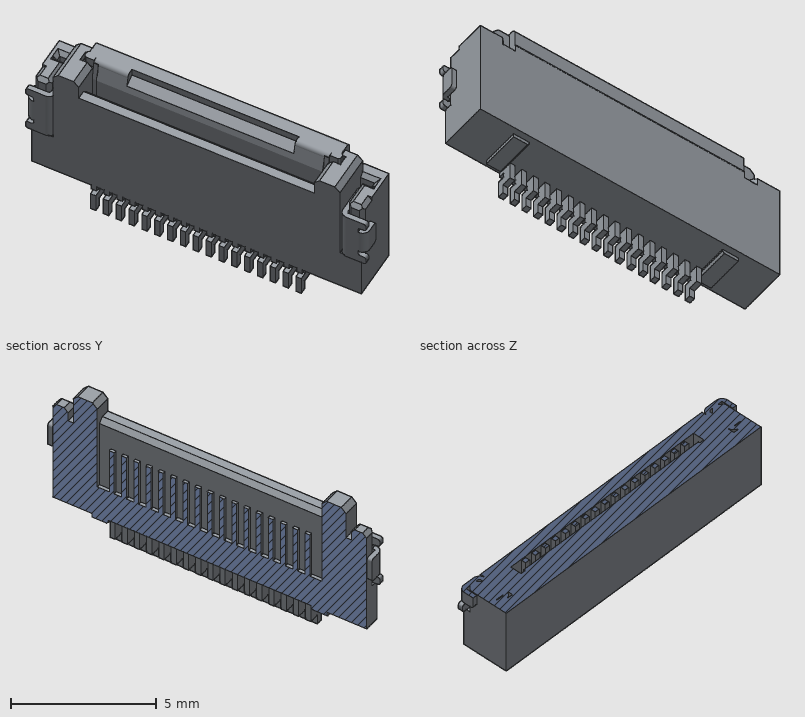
import cadquery as cq
import math


HOUSING_HALF = 6.41
HOUSING_DEPTH = 2.0
HOUSING_HEIGHT = 4.27

TOWER_INNER = 4.58
TOWER_OUTER = 5.58
TOWER_DEPTH = 1.65
TOWER_TOP = 5.02
TOWER_CHAMFER = 0.2

SLOT_FRONT = 0.53
SLOT_BACK = 0.93
SLOT_FLOOR = 1.32
SLOT_LEAD_IN = 0.19
CORNER_HALF = 4.4

REAR_FACE = 1.96
COVER_HALF = 4.9
COVER_TOP = 5.11
COVER_RADIUS = 0.2
LIP_END = 1.07
LIP_RADIUS = 0.17
LIP_START = LIP_END + LIP_RADIUS
RAMP_FOOT = 4.35
KEY_REACH = 0.08
KEY_START = 1.42
KEY_END = 1.11
KEYWAY_HALF = 5.06
KEYWAY_FRONT = 1.0
KEYWAY_BACK = 1.39
KEYWAY_DEPTH = 0.26

RELIEF_HALF = 5.29
RELIEF_DEPTH = 0.15
RELIEF_BEVEL = 0.17
RELIEF_GROOVE = 0.05

RECESS_HALF = 3.25
RECESS_BACK = 1.36
RECESS_TOP = 4.82
RECESS_FRONT = 0.97
RECESS_FOOT = 4.6

SHEET_THICKNESS = 0.2
CLIP_BOTTOM = 1.71
CLIP_TOP = 3.75
FOOT_FACE = -0.05
CLIP_END = 6.62
BEND_RADIUS = 0.28
CLIP_BACK = 1.5
ARM_END = 6.16
NOTCH_BOTTOM = 2.04
NOTCH_TOP = 3.43
NOTCH_INNER = 6.31
HORN_RADIUS = 0.1
TAB_BOTTOM = 2.23
TAB_TOP = 3.22
TAB_BACK = 0.65
TAB_CORNER = 0.1

POST_FRONT = FOOT_FACE + SHEET_THICKNESS
POST_BACK = 1.29
POST_INNER = TOWER_OUTER + SHEET_THICKNESS
POST_BEVEL = 0.16
POST_SIDE_BEVEL_END = 0.77
POCKET_BACK = 1.65
POCKET_END = 6.28

PIN_COUNT = 17
PIN_PITCH = 0.5
PIN_WIDTH = 0.21
PIN_BACK = 0.61
PIN_NECK_FRONT = 0.24
PIN_STEP_TOP = -0.4
PIN_STEP_BOTTOM = -0.77
PIN_BOTTOM = -1.17
TOE_BACK = 0.2
RIB_HEIGHT = 0.2
TIP_FRONT = 0.55
TIP_BACK = 0.75
TIP_TOP = 3.18

PAD_INNER = 4.13
PAD_OUTER = 4.81
PAD_FRONT = 0.2
PAD_BACK = 1.76
PAD_HEIGHT = 0.16
PAD_CHAMFER = 0.08

SIN_45 = math.sin(math.radians(45))


def block(x0, x1, y0, y1, z0, z1):
    """Box between opposite corners."""
    return cq.Workplane("XY").box(x1 - x0, y1 - y0, z1 - z0, centered=False).translate((x0, y0, z0))


def centred_block(half, y0, y1, z0, z1):
    """Box symmetric about the YZ plane."""
    return block(-half, half, y0, y1, z0, z1)


def side_prism(points, half):
    """Prism over a YZ outline, symmetric about the YZ plane."""
    return cq.Workplane("YZ").polyline(points).close().extrude(half, both=True)


def plan_prism(points, z0, z1):
    """Upright prism over an XY outline."""
    return cq.Workplane("XY").workplane(offset=z0).polyline(points).close().extrude(z1 - z0)


def both_ends(shape):
    """The shape together with its mirror image about the YZ plane."""
    return shape.union(shape.mirror("YZ"))


def make_tower():
    tower = block(TOWER_INNER, TOWER_OUTER, 0, TOWER_DEPTH, 0, TOWER_TOP)
    return tower.faces(">Z").edges("|Y").chamfer(TOWER_CHAMFER)


def make_rear_relief():
    """Relief in the shoulder beside the cover: flared at the back, with a floor that falls away."""
    floor = HOUSING_HEIGHT - RELIEF_DEPTH
    bevel_start = HOUSING_DEPTH - RELIEF_BEVEL
    relief = plan_prism(
        [
            (COVER_HALF, TOWER_DEPTH),
            (RELIEF_HALF, TOWER_DEPTH),
            (RELIEF_HALF, bevel_start),
            (RELIEF_HALF + RELIEF_BEVEL, HOUSING_DEPTH),
            (COVER_HALF, HOUSING_DEPTH),
        ],
        floor - RELIEF_BEVEL,
        HOUSING_HEIGHT,
    )
    kept_floor = side_prism(
        [
            (TOWER_DEPTH + RELIEF_GROOVE, floor),
            (bevel_start, floor),
            (HOUSING_DEPTH, floor - RELIEF_BEVEL),
            (TOWER_DEPTH + RELIEF_GROOVE, floor - RELIEF_BEVEL),
        ],
        HOUSING_HALF,
    )
    return relief.cut(kept_floor)


def make_cover():
    """Cover with a rounded rear edge, a rounded front lip, end keys and a ramp into the slot."""
    base = SLOT_FLOOR
    lip_bottom = COVER_TOP - LIP_RADIUS
    lip_middle = (
        LIP_START - LIP_RADIUS * SIN_45,
        lip_bottom + LIP_RADIUS * SIN_45,
    )
    rear_round = COVER_TOP - COVER_RADIUS
    rear_middle = (
        REAR_FACE - COVER_RADIUS * (1 - SIN_45),
        rear_round + COVER_RADIUS * SIN_45,
    )
    lip = (
        cq.Workplane("YZ")
        .moveTo(LIP_END, base)
        .lineTo(LIP_END, lip_bottom)
        .threePointArc(lip_middle, (LIP_START, COVER_TOP))
        .lineTo(KEY_START, COVER_TOP)
        .lineTo(KEY_START, base)
        .close()
        .extrude(TOWER_INNER, both=True)
    )
    rear = (
        cq.Workplane("YZ")
        .moveTo(KEY_START, base)
        .lineTo(KEY_START, COVER_TOP)
        .lineTo(REAR_FACE - COVER_RADIUS, COVER_TOP)
        .threePointArc(rear_middle, (REAR_FACE, rear_round))
        .lineTo(REAR_FACE, base)
        .close()
        .extrude(COVER_HALF, both=True)
    )
    ramp = side_prism(
        [
            (SLOT_BACK, base),
            (SLOT_BACK, RAMP_FOOT),
            (LIP_END, lip_bottom),
            (LIP_START, lip_bottom),
            (LIP_START, base),
        ],
        CORNER_HALF,
    )
    key = plan_prism(
        [
            (TOWER_INNER, KEY_START),
            (COVER_HALF, KEY_START),
            (COVER_HALF + KEY_REACH, KEY_START - KEY_REACH),
            (COVER_HALF + KEY_REACH, KEY_END + KEY_REACH),
            (COVER_HALF, KEY_END),
            (TOWER_INNER, KEY_END),
        ],
        TOWER_TOP - KEYWAY_DEPTH,
        COVER_TOP,
    )
    corners = side_prism(
        [
            (KEYWAY_FRONT, base),
            (KEYWAY_FRONT, HOUSING_HEIGHT),
            (LIP_END, TOWER_TOP),
            (LIP_START, TOWER_TOP),
            (LIP_START, base),
        ],
        TOWER_INNER,
    )
    corners = corners.cut(centred_block(CORNER_HALF, SLOT_BACK, LIP_START, base, TOWER_TOP))
    recess = side_prism(
        [
            (RECESS_BACK, COVER_TOP),
            (RECESS_BACK, RECESS_TOP),
            (RECESS_FRONT, RECESS_FOOT),
            (SLOT_BACK, RECESS_FOOT),
            (SLOT_BACK, COVER_TOP),
        ],
        RECESS_HALF,
    )
    return lip.union(rear).union(ramp).union(corners).union(both_ends(key)).cut(recess)


def make_slot():
    """Space for the mating cable, with a lead-in bevel along the front wall."""
    slot = centred_block(TOWER_INNER, SLOT_FRONT, LIP_END, SLOT_FLOOR, COVER_TOP)
    lead_in = side_prism(
        [
            (SLOT_FRONT, HOUSING_HEIGHT),
            (SLOT_FRONT - SLOT_LEAD_IN, HOUSING_HEIGHT),
            (SLOT_FRONT, HOUSING_HEIGHT - SLOT_LEAD_IN),
        ],
        TOWER_INNER,
    )
    return slot.union(lead_in)


def make_keyway():
    """Space around one cover key."""
    bottom = TOWER_TOP - KEYWAY_DEPTH
    return block(TOWER_INNER, KEYWAY_HALF, KEYWAY_FRONT, KEYWAY_BACK, bottom, TOWER_TOP)


def make_clip_pocket():
    """Bevelled pocket in the shoulder, open to the front, that leaves a bevelled post standing."""
    slot_back = POCKET_BACK - POST_BEVEL
    slot_end = POCKET_END - POST_BEVEL
    rim = HOUSING_HEIGHT - POST_BEVEL
    pocket = block(TOWER_OUTER, slot_end, POST_FRONT, slot_back, CLIP_BOTTOM, HOUSING_HEIGHT)
    mouth = block(TOWER_OUTER, POCKET_END, POST_BACK - POST_BEVEL, POCKET_BACK, rim, TOWER_TOP)
    mouth = mouth.faces("<Z").edges(">X or >Y").chamfer(POST_BEVEL)
    front = block(TOWER_OUTER, HOUSING_HALF, 0, POST_FRONT, CLIP_BOTTOM, HOUSING_HEIGHT)
    post = block(POST_INNER, HOUSING_HALF, POST_FRONT, POST_BACK, CLIP_BOTTOM, HOUSING_HEIGHT)
    post = post.edges("|Z and <Y").chamfer(POST_BEVEL)
    front_bevel = side_prism(
        [
            (POST_FRONT, HOUSING_HEIGHT),
            (POST_FRONT + POST_BEVEL, HOUSING_HEIGHT),
            (POST_FRONT, rim),
        ],
        HOUSING_HALF,
    )
    back_bevel = side_prism(
        [
            (POST_BACK, HOUSING_HEIGHT),
            (POST_BACK - POST_BEVEL, HOUSING_HEIGHT),
            (POST_BACK, rim),
        ],
        POCKET_END,
    )
    outer_bevel = (
        cq.Workplane("XZ")
        .polyline(
            [
                (HOUSING_HALF, HOUSING_HEIGHT),
                (HOUSING_HALF - POST_BEVEL, HOUSING_HEIGHT),
                (HOUSING_HALF, rim),
            ]
        )
        .close()
        .extrude(-POST_SIDE_BEVEL_END)
    )
    inner_bevel = (
        cq.Workplane("XZ")
        .polyline(
            [
                (POST_INNER, HOUSING_HEIGHT),
                (POST_INNER + POST_BEVEL, HOUSING_HEIGHT),
                (POST_INNER, rim),
            ]
        )
        .close()
        .extrude(-POST_BACK)
    )
    post = post.cut(front_bevel).cut(back_bevel).cut(outer_bevel).cut(inner_bevel)
    outside = block(POST_INNER, HOUSING_HALF, POST_FRONT, POST_BACK, CLIP_BOTTOM, HOUSING_HEIGHT)
    return pocket.union(mouth).cut(outside).union(front).union(outside.cut(post))


def make_clip():
    """Bent sheet clip: inner arm, web, soldering foot with two horns, and an upturned tab."""
    outer = block(TOWER_OUTER, CLIP_END, FOOT_FACE, CLIP_BACK, CLIP_BOTTOM, CLIP_TOP)
    outer = outer.edges("|Z and <X").fillet(BEND_RADIUS)
    hollow = block(POST_INNER, CLIP_END, POST_FRONT, CLIP_BACK - SHEET_THICKNESS, CLIP_BOTTOM, CLIP_TOP)
    hollow = hollow.edges("|Z and <X").fillet(BEND_RADIUS - SHEET_THICKNESS)
    arm_end = block(ARM_END, CLIP_END, POST_FRONT, CLIP_BACK, CLIP_BOTTOM, CLIP_TOP)
    notch = block(NOTCH_INNER, CLIP_END, FOOT_FACE, POST_FRONT, NOTCH_BOTTOM, NOTCH_TOP)
    notch = notch.edges("|Y and <X").fillet(HORN_RADIUS)
    clip = outer.cut(hollow).cut(arm_end).cut(notch)
    clip = clip.faces(">X").edges("|Y").fillet(HORN_RADIUS)

    tab_root = NOTCH_INNER - SHEET_THICKNESS
    tab_inner = CLIP_END - SHEET_THICKNESS
    tab = block(tab_root, CLIP_END, FOOT_FACE, TAB_BACK, TAB_BOTTOM, TAB_TOP)
    tab = tab.edges("|Z and >X and <Y").fillet(BEND_RADIUS)
    tab_hollow = block(tab_root, tab_inner, POST_FRONT, TAB_BACK, TAB_BOTTOM, TAB_TOP)
    tab = tab.cut(tab_hollow).faces(">Y").edges("|X").fillet(TAB_CORNER)
    return clip.union(tab)


def make_contact():
    """One contact centred on X = 0: rib under the housing, stepped tail and tip in the slot."""
    half = PIN_WIDTH / 2
    tail = side_prism(
        [
            (PIN_BACK, 0),
            (PIN_BACK, PIN_STEP_BOTTOM),
            (TOE_BACK, PIN_STEP_BOTTOM),
            (TOE_BACK, PIN_BOTTOM),
            (FOOT_FACE, PIN_BOTTOM),
            (FOOT_FACE, PIN_STEP_TOP),
            (PIN_NECK_FRONT, PIN_STEP_TOP),
            (PIN_NECK_FRONT, 0),
        ],
        half,
    )
    rib = centred_block(half, 0, PIN_NECK_FRONT, -RIB_HEIGHT, 0)
    tip = centred_block(half, TIP_FRONT, TIP_BACK, SLOT_FLOOR, TIP_TOP)
    return tail.union(rib).union(tip)


def make_pad():
    pad = block(PAD_INNER, PAD_OUTER, PAD_FRONT, PAD_BACK, -PAD_HEIGHT, 0)
    return pad.faces("<Z").edges("<X").chamfer(PAD_CHAMFER)


housing = centred_block(HOUSING_HALF, 0, HOUSING_DEPTH, 0, HOUSING_HEIGHT)
housing = housing.union(both_ends(make_tower()))
for opening in (make_keyway(), make_rear_relief(), make_clip_pocket()):
    housing = housing.cut(both_ends(opening))
housing = housing.cut(make_slot())

result = housing.union(make_cover()).union(both_ends(make_clip())).union(both_ends(make_pad()))
contact = make_contact()
for index in range(PIN_COUNT):
    offset = (index - (PIN_COUNT - 1) / 2) * PIN_PITCH
    result = result.union(contact.translate((offset, 0, 0)))